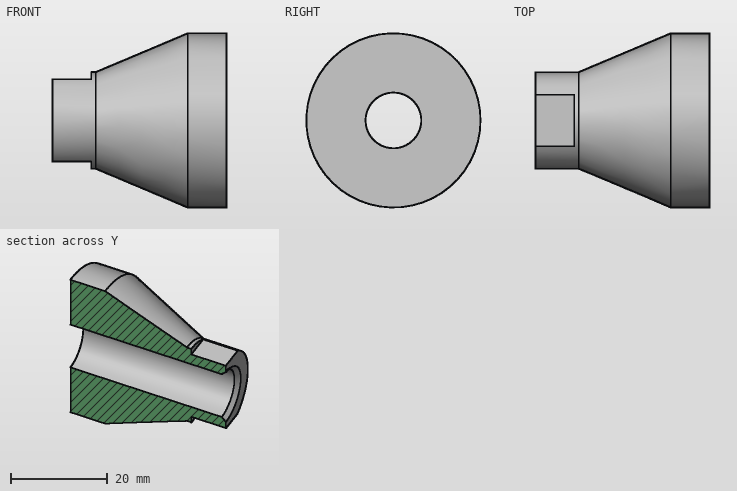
import cadquery as cq

total_length = 36.0
rim_diameter = 36.0
rim_length = 8.05
neck_diameter = 20.0
neck_length = 9.0
flat_spacing = 17.0
flat_length = 8.0
bore_diameter = 11.45
bore_chamfer = 0.97

rim_radius = rim_diameter / 2
neck_radius = neck_diameter / 2
bore_radius = bore_diameter / 2
cone_end = total_length - rim_length


def turned_body():
    """Neck, cone and cylindrical rim with a chamfered through bore."""
    profile = [
        (0, bore_radius + bore_chamfer),
        (0, neck_radius),
        (neck_length, neck_radius),
        (cone_end, rim_radius),
        (total_length, rim_radius),
        (total_length, bore_radius),
        (bore_chamfer, bore_radius),
    ]
    return cq.Workplane("XY").polyline(profile).close().revolve(360, (0, 0, 0), (1, 0, 0))


def flat_cutter(side):
    """Block that cuts one wrench flat above (side=1) or below (side=-1) the axis."""
    cutter_height = neck_diameter - flat_spacing
    center_z = side * (flat_spacing + cutter_height) / 2
    return (
        cq.Workplane("XY")
        .box(flat_length, neck_diameter, cutter_height, centered=(False, True, True))
        .translate((0, 0, center_z))
    )


result = turned_body()
for side in (1, -1):
    result = result.cut(flat_cutter(side))